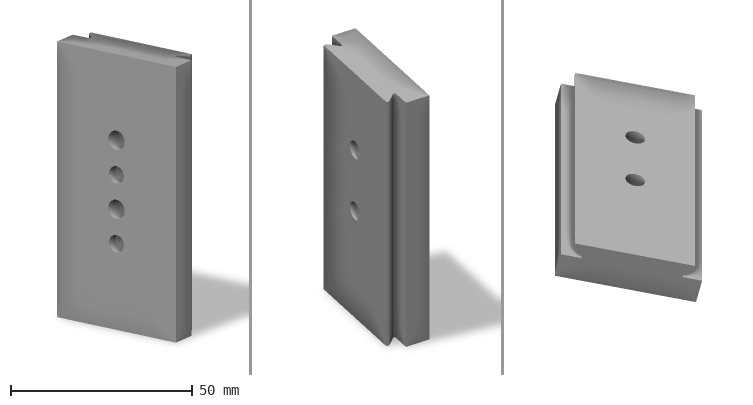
import cadquery as cq
import math

width = 40.0
thickness = 12.0
length = 80.0

rail_width = 34.0
rail_height = 4.5
lip_height = 1.0
undercut_angle = 45.0
root_radius = 0.5

hole_pitch = 10.0
through_diameter = 5.5
blind_diameter = 5.0
blind_depth = 3.0
drill_point_angle = 118.0

front_y = -thickness / 2
back_y = thickness / 2
ledge_y = back_y - rail_height


def dovetail_plate():
    """Plate extruded along Z with an undercut rail on its back."""
    lip_y = back_y - lip_height
    root_x = rail_width / 2 - (lip_y - ledge_y) / math.tan(math.radians(undercut_angle))
    right_side = [
        (width / 2, front_y),
        (width / 2, ledge_y),
        (root_x, ledge_y),
        (rail_width / 2, lip_y),
        (rail_width / 2, back_y),
    ]
    left_side = [(-x, y) for x, y in reversed(right_side)]
    plate = (
        cq.Workplane("XY")
        .workplane(offset=-length / 2)
        .polyline(right_side + left_side)
        .close()
        .extrude(length)
    )
    root_edges = cq.selectors.BoxSelector(
        (-rail_width / 2, ledge_y - root_radius, -length / 2),
        (rail_width / 2, ledge_y + root_radius, length / 2),
    )
    return plate.edges("|Z").edges(root_edges).fillet(root_radius)


def through_hole(z):
    """Straight hole through the whole thickness."""
    hole = cq.Solid.makeCylinder(
        through_diameter / 2, thickness, cq.Vector(0, front_y, z), cq.Vector(0, 1, 0)
    )
    return cq.Workplane(hole)


def blind_hole(z):
    """Drilled hole from the front face, ending in a conical point."""
    radius = blind_diameter / 2
    tip_depth = blind_depth + radius / math.tan(math.radians(drill_point_angle / 2))
    return (
        cq.Workplane("XY", origin=(0, front_y, z))
        .polyline([(0, 0), (radius, 0), (radius, blind_depth), (0, tip_depth)])
        .close()
        .revolve(360, (0, 0), (0, 1))
    )


result = dovetail_plate()
for pair_centre in (-hole_pitch, hole_pitch):
    result = result.cut(through_hole(pair_centre + hole_pitch / 2))
    result = result.cut(blind_hole(pair_centre - hole_pitch / 2))